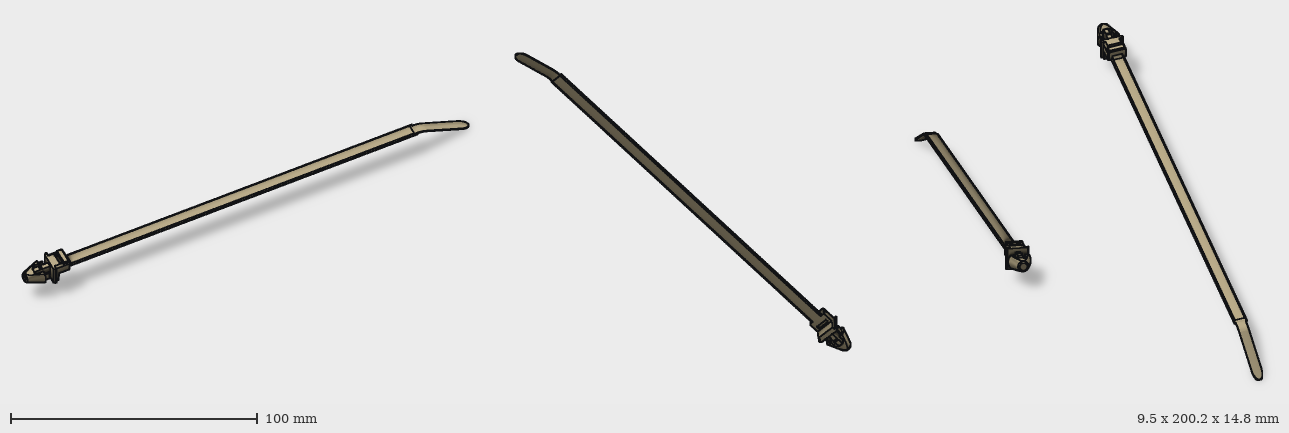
import cadquery as cq
import math


overall_length = 200.2
overall_height = 14.8

flange_width = 9.5
flange_height = 8.8
flange_thickness = 1.2
flange_edge_cut = 0.6
brace_top_depth = 2.8
brace_bottom_depth = 2.5

head_width = 7.8
head_depth = 7.6
head_top = flange_height / 2
head_edge_width = 1.0
head_edge_drop = 0.8
head_corner_cut = 0.5
ridge_width = 6.6
ridge_height = 0.6
ridge_cut = 0.5

slot_width = 5.0
slot_gap = 1.2
slot_front = 3.6
ridge_front = slot_front + slot_gap

strap_width = 5.5
strap_thickness = 1.2
strap_bottom = -0.1
strap_top = strap_bottom + strap_thickness
strap_edge_width = 0.6
strap_edge_drop = 0.5
strap_end_slope = 1.2
root_ramp_length = 1.5
root_ramp_height = 0.8

tail_width = strap_width - 2 * strap_edge_width
tail_thickness = 0.6
tail_length = 24.2
tail_tip_length = 4.0
tail_angle = math.radians(24.5)
tail_top = strap_top - strap_edge_drop

plug_length = 11.2
plug_half_height = 2.8
tip_half_height = 2.2
tip_radius = 2.2
tip_chamfer = 0.6
barb_radius = flange_width / 2
barb_start = 3.6
post_width = 2.0
post_ridge = 3.5
post_ridge_length = 0.8
arm_inner = 2.2
arm_straight_end = 5.8
arm_root = 7.0
arm_root_inner = 1.2
tab_inner = 2.8
tab_thickness = 0.6
tab_end = 1.5
tab_height = 3.6

tail_tip = overall_length - plug_length
strap_end = tail_tip - tail_length
tail_bottom = head_top + ridge_height - overall_height


def box(x_size, y_start, y_end, z_start, z_end):
    """Block centred on X = 0."""
    return (
        cq.Workplane("XY")
        .box(x_size, y_end - y_start, z_end - z_start, centered=(True, False, False))
        .translate((0, y_start, z_start))
    )


def side_profile(points, width):
    """Closed (Y, Z) outline extruded symmetrically along X."""
    return cq.Workplane("YZ").polyline(points).close().extrude(width / 2, both=True)


def make_flange():
    half = flange_height / 2
    plate = box(flange_width, 0, flange_thickness, -half, half)
    plate = plate.edges("|Z and <Y").chamfer(flange_edge_cut)
    brace_outline = [
        (0, strap_bottom),
        (brace_top_depth, strap_bottom),
        (brace_bottom_depth, -half),
        (0, -half),
    ]
    return plate.union(side_profile(brace_outline, head_width))


def make_head():
    half = head_width / 2
    flat_half = half - head_edge_width
    section = [
        (-half, strap_bottom),
        (half, strap_bottom),
        (half, head_top - head_edge_drop),
        (flat_half, head_top),
        (-flat_half, head_top),
        (-half, head_top - head_edge_drop),
    ]
    body = cq.Workplane("XZ").polyline(section).close().extrude(-head_depth)
    body = body.edges("|Z and >Y").chamfer(head_corner_cut)
    ridge_outline = [
        (ridge_front, head_top - head_edge_drop),
        (head_depth, head_top - head_edge_drop),
        (head_depth, head_top),
        (head_depth - ridge_cut, head_top + ridge_height),
        (ridge_front + ridge_cut, head_top + ridge_height),
        (ridge_front, head_top),
    ]
    ridge = side_profile(ridge_outline, ridge_width)
    return body.union(ridge)


def cut_slot(part):
    return part.cut(box(slot_width, slot_front, slot_front + slot_gap, strap_bottom, head_top))


def make_strap():
    half = strap_width / 2
    flat_half = half - strap_edge_width
    shoulder = strap_top - strap_edge_drop
    section = [
        (-flat_half, strap_bottom),
        (flat_half, strap_bottom),
        (half, strap_bottom + strap_edge_drop),
        (half, shoulder),
        (flat_half, strap_top),
        (-flat_half, strap_top),
        (-half, shoulder),
        (-half, strap_bottom + strap_edge_drop),
    ]
    root = head_depth - head_corner_cut
    strap = cq.Workplane("XZ", origin=(0, root, 0)).polyline(section).close().extrude(root - strap_end)
    end_slope = [
        (strap_end - strap_end_slope, strap_top),
        (strap_end, shoulder),
        (strap_end, strap_top),
    ]
    strap = strap.cut(side_profile(end_slope, strap_width))
    root_ramp = [
        (root, strap_bottom),
        (head_depth + root_ramp_length, strap_top),
        (head_depth, strap_top + root_ramp_height),
        (root, strap_top + root_ramp_height),
    ]
    return strap.union(side_profile(root_ramp, 2 * flat_half))


def make_tail():
    sin_a = math.sin(tail_angle)
    cos_a = math.cos(tail_angle)
    tip_top_y = tail_tip
    tip_top_z = tail_bottom + tail_thickness * cos_a
    run = tip_top_y - strap_end
    drop = tail_top - tip_top_z
    bend_radius = (run * sin_a - drop * cos_a) / (1 - cos_a)

    def bend_point(radius, angle):
        center_z = tail_top - bend_radius
        return (strap_end + radius * math.sin(angle), center_z + radius * math.cos(angle))

    inner_radius = bend_radius - tail_thickness
    tip_bottom = (tip_top_y - tail_thickness * sin_a, tail_bottom)
    overlap = strap_end - strap_end_slope
    tail = (
        cq.Workplane("YZ")
        .moveTo(overlap, tail_top)
        .lineTo(strap_end, tail_top)
        .threePointArc(bend_point(bend_radius, tail_angle / 2), bend_point(bend_radius, tail_angle))
        .lineTo(tip_top_y, tip_top_z)
        .lineTo(*tip_bottom)
        .lineTo(*bend_point(inner_radius, tail_angle))
        .threePointArc(bend_point(inner_radius, tail_angle / 2), bend_point(inner_radius, 0))
        .lineTo(overlap, tail_top - tail_thickness)
        .close()
        .extrude(tail_width / 2, both=True)
    )
    return tail.intersect(make_tail_plan(overlap))


def make_tail_plan(start):
    """Tall prism over the plan shape of the tail, with a half-ellipse at the tip."""
    round_start = tail_tip - tail_tip_length
    strip = box(tail_width, start, round_start, tail_bottom, head_top)
    tip = (
        cq.Workplane("XY", origin=(0, round_start, tail_bottom))
        .ellipse(tail_width / 2, tail_tip_length)
        .extrude(head_top - tail_bottom)
    )
    return strip.union(tip)


def make_plug():
    cone_outline = [
        (0, -barb_start),
        (barb_radius, -barb_start),
        (tip_radius, -plug_length + tip_chamfer),
        (tip_radius - tip_chamfer, -plug_length),
        (0, -plug_length),
    ]
    cone = cq.Workplane("XY").polyline(cone_outline).close().revolve(360, (0, 0, 0), (0, 1, 0))
    flats_outline = [
        (-barb_start, -plug_half_height),
        (-barb_start, plug_half_height),
        (-plug_length, tip_half_height),
        (-plug_length, -tip_half_height),
    ]
    plug = cone.intersect(side_profile(flats_outline, 2 * barb_radius))

    post = box(post_width, -arm_root, 0, -plug_half_height, plug_half_height)
    post_ridge_outline = [
        (-barb_start, -post_ridge),
        (-barb_start, post_ridge),
        (-barb_start - post_ridge_length, plug_half_height),
        (-barb_start - post_ridge_length, -plug_half_height),
    ]
    post = post.union(side_profile(post_ridge_outline, post_width))

    for side in (-1, 1):
        gap_outline = [
            (0, -barb_start),
            (side * arm_inner, -barb_start),
            (side * arm_inner, -arm_straight_end),
            (side * arm_root_inner, -arm_root),
            (0, -arm_root),
        ]
        gap = cq.Workplane("XY").polyline(gap_outline).close().extrude(plug_half_height, both=True)
        plug = plug.cut(gap)
        tab = box(tab_thickness, -arm_straight_end, -tab_end, -tab_height / 2, tab_height / 2)
        plug = plug.union(tab.translate((side * (tab_inner + tab_thickness / 2), 0, 0)))
    return plug.union(post)


body = cut_slot(make_flange().union(make_head()))
result = body.union(make_strap()).union(make_tail()).union(make_plug())